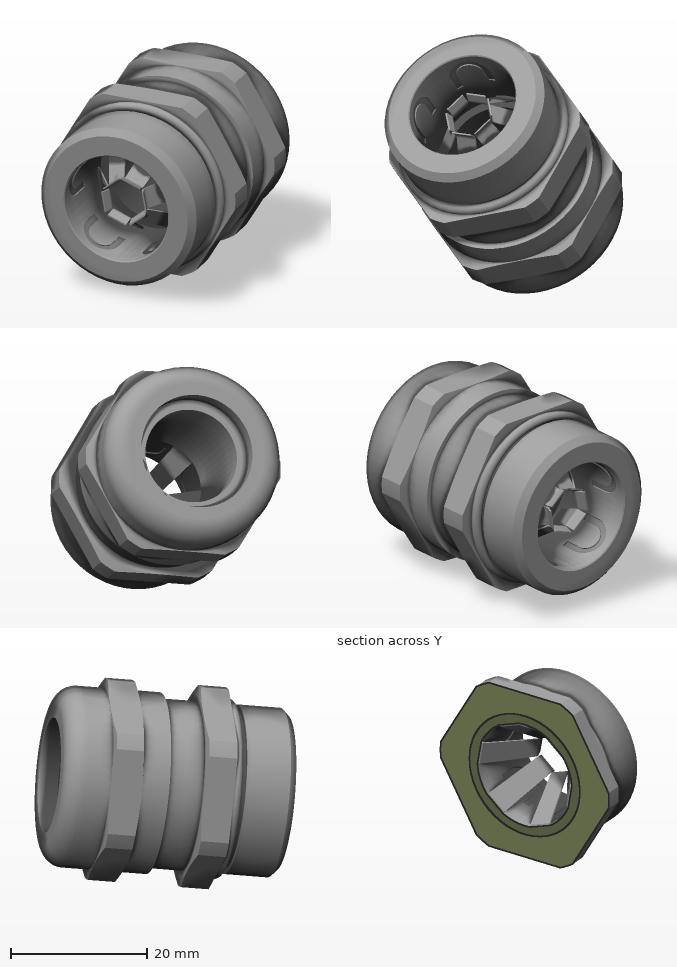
import cadquery as cq
import math


TOTAL_LENGTH = 34.66
HEX_FLATS = 27.0
HEX_CORNERS = 29.8
HEX_CHAMFER_ANGLE = 13.0

THREAD_RADIUS = 12.5
THREAD_CHAMFER = 1.0
THREAD_LENGTH = 7.55
GROOVE_RADIUS = 11.7
BODY_HEX_FRONT = 9.5
BODY_HEX_LENGTH = 4.5
BODY_HEX_BACK = BODY_HEX_FRONT + BODY_HEX_LENGTH
NECK_RADIUS = 11.5
NECK_END = 30.0
LIP_LENGTH = 1.0
LIP_CHAMFER = 0.16

CAP_RADIUS = 13.4
CAP_FRONT = 19.15
CAP_FILLET = 3.0
CAP_HEX_FRONT = 23.2
CAP_HEX_LENGTH = 4.72
CAP_WALL = 3.0
CAP_HOLE_RADIUS = 8.5

RING_OUTER_RADIUS = 13.3
RING_SECTION_RADIUS = 0.75
RING_SEAT_OFFSET = 0.5

BORE_RADIUS = 8.3
STACK_RADIUS = 9.7
SLEEVE_END = 11.6
SPRING_RING_LENGTH = 1.4
SEAL_FRONT = SLEEVE_END + SPRING_RING_LENGTH
SEAL_END = TOTAL_LENGTH - CAP_WALL
SEAL_BORE_RADIUS = 7.0

POCKET_COUNT = 5
POCKET_START_ANGLE = 21.0
POCKET_BACK = 7.2
POCKET_WIDTH = 6.0
POCKET_FRONT = 1.4
POCKET_BORDER = 1.0
POCKET_DEPTH = 0.2

FINGER_COUNT = 6
FINGER_START_ANGLE = 10.0
FINGER_THICKNESS = 0.24
FINGER_ROOT_THICKNESS = 0.35
FINGER_ROOT_RISE = 0.2
FINGER_ROOT_OVERLAP = 0.2
FINGER_ROOT_WIDTH = 3.7
FINGER_TIP_WIDTH = 3.05
FINGER_ROOT_BEND_RADIUS = 7.8
FINGER_INNER_RADIUS = 2.65
FINGER_INNER_Y = 4.2
FINGER_END_RADIUS = 3.2
FINGER_END_Y = 2.75
FINGER_BEND_RADIUS = 0.9


def revolve(points):
    """Turn a closed (radius, y) outline around the Y axis."""
    return cq.Workplane("XY").polyline(points).close().revolve(360, (0, 0, 0), (0, 1, 0))


def tube(outer, inner, front, back):
    return revolve([(inner, front), (outer, front), (outer, back), (inner, back)])


def hex_collar(front, length, chamfer_front):
    """Hexagon across Z flats, its corners turned down and its rims coned."""
    back = front + length
    corner = HEX_CORNERS / 2
    rim = HEX_FLATS / 2
    drop = (corner - rim) * math.tan(math.radians(HEX_CHAMFER_ANGLE))
    front_points = [(rim, front), (corner, front + drop)] if chamfer_front else [(corner, front)]
    envelope = revolve([(0, front)] + front_points + [(corner, back - drop), (rim, back), (0, back)])
    hexagon = (
        cq.Workplane("XZ", origin=(0, back, 0))
        .polygon(6, HEX_FLATS, circumscribed=True)
        .extrude(length)
    )
    return hexagon.rotate((0, 0, 0), (0, 1, 0), 30).intersect(envelope)


def make_body():
    outer = revolve([
        (0, 0),
        (THREAD_RADIUS - THREAD_CHAMFER, 0),
        (THREAD_RADIUS, THREAD_CHAMFER),
        (THREAD_RADIUS, THREAD_LENGTH),
        (GROOVE_RADIUS, THREAD_LENGTH),
        (GROOVE_RADIUS, BODY_HEX_FRONT),
        (THREAD_RADIUS, BODY_HEX_FRONT),
        (THREAD_RADIUS, CAP_FRONT),
        (NECK_RADIUS, CAP_FRONT),
        (NECK_RADIUS, NECK_END),
        (0, NECK_END),
    ])
    bore = revolve([
        (0, 0),
        (BORE_RADIUS + LIP_CHAMFER, 0),
        (BORE_RADIUS, LIP_CHAMFER),
        (BORE_RADIUS, LIP_LENGTH),
        (STACK_RADIUS, LIP_LENGTH),
        (STACK_RADIUS, NECK_END),
        (0, NECK_END),
    ])
    return outer.union(hex_collar(BODY_HEX_FRONT, BODY_HEX_LENGTH, False)).cut(bore)


def make_cap():
    shell = (
        cq.Workplane("XZ", origin=(0, TOTAL_LENGTH, 0))
        .circle(CAP_RADIUS)
        .extrude(TOTAL_LENGTH - CAP_FRONT)
        .faces(">Y").edges()
        .fillet(CAP_FILLET)
    )
    cavity = revolve([
        (0, CAP_FRONT),
        (NECK_RADIUS, CAP_FRONT),
        (NECK_RADIUS, NECK_END),
        (STACK_RADIUS, NECK_END),
        (STACK_RADIUS, SEAL_END),
        (CAP_HOLE_RADIUS, SEAL_END),
        (CAP_HOLE_RADIUS, TOTAL_LENGTH),
        (0, TOTAL_LENGTH),
    ])
    return shell.union(hex_collar(CAP_HEX_FRONT, CAP_HEX_LENGTH, True)).cut(cavity)


def make_o_ring():
    ring = (
        cq.Workplane("XY")
        .moveTo(RING_OUTER_RADIUS - RING_SECTION_RADIUS, BODY_HEX_FRONT - RING_SEAT_OFFSET)
        .circle(RING_SECTION_RADIUS)
        .revolve(360, (0, 0, 0), (0, 1, 0))
    )
    return ring.cut(tube(HEX_CORNERS / 2, 0, BODY_HEX_FRONT, BODY_HEX_BACK))


def slot_prism(width, front):
    """Radial prism of an axial slot with a round front end and a square back end."""
    half = width / 2
    return (
        cq.Workplane("YZ")
        .moveTo(POCKET_BACK, -half)
        .lineTo(front + half, -half)
        .threePointArc((front, 0), (front + half, half))
        .lineTo(POCKET_BACK, half)
        .close()
        .extrude(STACK_RADIUS)
    )


def make_sleeve():
    """Tube with shallow wall pockets, each leaving a flush island of the same shape inside it."""
    sleeve = tube(STACK_RADIUS, BORE_RADIUS, LIP_LENGTH, SLEEVE_END)
    island = slot_prism(POCKET_WIDTH - 2 * POCKET_BORDER, POCKET_FRONT + POCKET_BORDER)
    border = slot_prism(POCKET_WIDTH, POCKET_FRONT).cut(island)
    pocket = border.intersect(tube(BORE_RADIUS + POCKET_DEPTH, 0, 0, SLEEVE_END))
    for index in range(POCKET_COUNT):
        angle = POCKET_START_ANGLE + index * 360 / POCKET_COUNT
        sleeve = sleeve.cut(pocket.rotate((0, 0, 0), (0, 1, 0), -angle))
    return sleeve


def make_finger():
    """Bent strip along +X, its root buried in the spring ring and its width tapering to the tip."""
    root = BORE_RADIUS + FINGER_ROOT_OVERLAP
    root_y = SLEEVE_END + FINGER_ROOT_RISE
    bend_outer_radius = FINGER_INNER_RADIUS + FINGER_THICKNESS
    tip_bend = cq.selectors.BoxSelector(
        (0, FINGER_INNER_Y - FINGER_THICKNESS, -FINGER_ROOT_WIDTH),
        (root, FINGER_INNER_Y + FINGER_THICKNESS, FINGER_ROOT_WIDTH),
    )
    strip = (
        cq.Workplane("XY")
        .polyline([
            (root, root_y),
            (FINGER_ROOT_BEND_RADIUS, SLEEVE_END),
            (bend_outer_radius, FINGER_INNER_Y),
            (FINGER_END_RADIUS + FINGER_THICKNESS, FINGER_END_Y),
            (FINGER_END_RADIUS, FINGER_END_Y),
            (FINGER_INNER_RADIUS, FINGER_INNER_Y),
            (FINGER_ROOT_BEND_RADIUS, SLEEVE_END + FINGER_ROOT_THICKNESS),
            (root, root_y + FINGER_ROOT_THICKNESS),
        ])
        .close()
        .extrude(FINGER_ROOT_WIDTH / 2, both=True)
        .edges(tip_bend)
        .fillet(FINGER_BEND_RADIUS)
    )
    outline = (
        cq.Workplane("XZ")
        .polyline([
            (FINGER_INNER_RADIUS, -FINGER_TIP_WIDTH / 2),
            (root, -FINGER_ROOT_WIDTH / 2),
            (root, FINGER_ROOT_WIDTH / 2),
            (FINGER_INNER_RADIUS, FINGER_TIP_WIDTH / 2),
        ])
        .close()
        .extrude(-SEAL_FRONT)
    )
    return strip.intersect(outline)


def make_spring():
    spring = tube(STACK_RADIUS, BORE_RADIUS, SLEEVE_END, SEAL_FRONT)
    finger = make_finger()
    for index in range(FINGER_COUNT):
        angle = FINGER_START_ANGLE + index * 360 / FINGER_COUNT
        spring = spring.union(finger.rotate((0, 0, 0), (0, 1, 0), -angle))
    return spring


body = make_body()
cap = make_cap()
o_ring = make_o_ring()
sleeve = make_sleeve()
spring = make_spring()
seal = tube(STACK_RADIUS, SEAL_BORE_RADIUS, SEAL_FRONT, SEAL_END)

result = cq.Compound.makeCompound(
    [body.val(), cap.val(), o_ring.val(), sleeve.val(), spring.val(), seal.val()]
)